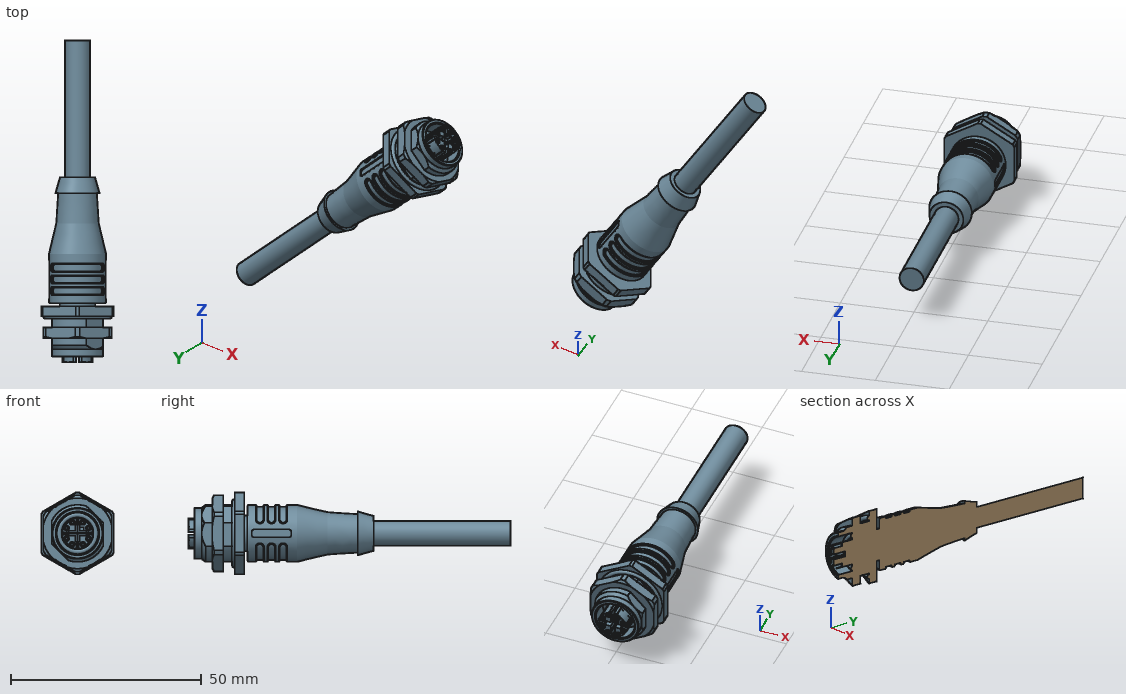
import cadquery as cq
import math


TOTAL_LENGTH = 84.5
CABLE_DIA = 6.6
COLLAR_END_DIA = 9.2
COLLAR_DIA = 11.6
COLLAR_START = 44.4
COLLAR_END = 48.6
SLEEVE_REAR_DIA = 10.2
SLEEVE_FRONT_DIA = 11.2
SLEEVE_START = 36.5
GRIP_DIA = 15.0
GRIP_START = 15.5
GRIP_END = 28.5
GRIP_EDGE_FILLET = 0.4
NECK_DIA = 9.4

GROOVE_WIDTH = 1.75
GROOVE_DEPTH = 0.5
GROOVE_MOUTH_CHAMFER = 0.25
GROOVE_PITCH = 3.05
GROOVE_COUNT = 3
GROOVE_MIDDLE_Y = 21.8
GROOVE_END_Z = 2.8
RECESS_LENGTH = 10.4
RECESS_WIDTH = 2.1
RECESS_DEPTH = 0.4
RECESS_CORNER = 0.7

HEX_SIDES = 6
FLANGE_ACROSS_FLATS = 19.03
FLANGE_CORNER_DIA = 21.5
FLANGE_START = 12.1
FLANGE_END = 14.7
RING_DIA = 18.0
RING_TUBE_DIA = 1.35
NUT_ACROSS_FLATS = 18.0
NUT_CORNER_DIA = 20.1
NUT_START = 6.3
NUT_END = 9.2
NUT_CHAMFER_DIA = 18.5
NUT_CHAMFER_LENGTH = 0.45

THREAD_DIA = 15.0
THREAD_ACROSS_FLATS = 13.4
THREAD_START = 4.5
FRONT_COLLAR_DIA = THREAD_ACROSS_FLATS
FRONT_COLLAR_END = 3.5
RIM_Y = 1.5
RIM_CHAMFER = 0.2
FLAT_ANGLES = (0, 45, 180, 225)

SOCKET_DIA = 10.92
SOCKET_FLOOR = 6.5
SOCKET_CHAMFER = 0.3
SEAL_TUBE_DIA = 1.3
SEAL_DIA = SOCKET_DIA - SEAL_TUBE_DIA
INSERT_DIA = 7.6
SHIELD_END_DIA = 8.0
SHIELD_END_WIDTH = 2.2
CROSS_SLOT_WIDTH = 0.7
CROSS_SLOT_DEPTH = 4.0
CROSS_CORE_WIDTH = 1.3
CROSS_CORE_LENGTH = 4.5
SHIELD_PLATE = 0.25
SHIELD_PLATE_START = 1.6
KEY_NOTCH_SIZE = 1.6
KEY_NOTCH_DEPTH = 1.5
CONTACT_HOLE_DIA = 0.72
CONTACT_RING_DIA = 1.3
CONTACT_RING_DEPTH = 0.15
CONTACT_HOLE_DEPTH = 3.0
CONTACT_NEAR = 1.4
CONTACT_FAR = 2.85


def along_y(profile, start, end):
    """Extrude a profile drawn on the XZ plane from Y = start to Y = end."""
    return profile.extrude(-(end - start)).translate((0, start, 0))


def disc(diameter, start, end):
    return along_y(cq.Workplane("XZ").circle(diameter / 2), start, end)


def bar(width, height, start, end, x=0, z=0):
    return along_y(cq.Workplane("XZ").center(x, z).rect(width, height), start, end)


def turned(radius_y_points):
    """Revolve an outline of (radius, Y) points, closed on the axis, about Y."""
    outline = [(0, radius_y_points[0][1])] + radius_y_points + [(0, radius_y_points[-1][1])]
    return cq.Workplane("XY").polyline(outline).close().revolve(360, (0, 0, 0), (0, 1, 0))


def hexagon(across_flats, start, end):
    """Hexagonal prism with flats facing +X and -X."""
    half_corner_angle = 180 / HEX_SIDES
    corner_dia = across_flats / math.cos(math.radians(half_corner_angle))
    prism = along_y(cq.Workplane("XZ").polygon(HEX_SIDES, corner_dia), start, end)
    return prism.rotate((0, 0, 0), (0, 1, 0), half_corner_angle)


def torus(center_dia, tube_dia, y):
    """Round ring about the Y axis; both sealing rings lie half sunk in the face they rest on."""
    return (
        cq.Workplane("XY")
        .center(center_dia / 2, y)
        .circle(tube_dia / 2)
        .revolve(360, (-center_dia / 2, 0, 0), (-center_dia / 2, 1, 0))
    )


def make_cable_and_grip():
    core = turned([
        (GRIP_DIA / 2, GRIP_START),
        (GRIP_DIA / 2, GRIP_END),
        (SLEEVE_FRONT_DIA / 2, SLEEVE_START),
        (SLEEVE_REAR_DIA / 2, COLLAR_START),
        (COLLAR_DIA / 2, COLLAR_START),
        (COLLAR_END_DIA / 2, COLLAR_END),
        (CABLE_DIA / 2, COLLAR_END),
        (CABLE_DIA / 2, TOTAL_LENGTH),
    ])
    return core.faces("<Y").edges().fillet(GRIP_EDGE_FILLET)


def on_grip_surface(edge):
    """True for an edge whose middle lies on the outer cylinder of the grip, clear of its seam."""
    middle = edge.positionAt(0.5)
    on_cylinder = math.isclose(math.hypot(middle.x, middle.z), GRIP_DIA / 2, abs_tol=GROOVE_DEPTH / 2)
    return on_cylinder and abs(middle.z) > GROOVE_END_Z / 2


def cut_finger_grooves(grip):
    """Circumferential grooves over the top and bottom with rounded ends at the sides."""
    end_radius = GROOVE_WIDTH / 2
    straight_length = GRIP_DIA
    floor_radius = GRIP_DIA / 2 - GROOVE_DEPTH
    for index in range(GROOVE_COUNT):
        y = GROOVE_MIDDLE_Y + (index - (GROOVE_COUNT - 1) / 2) * GROOVE_PITCH
        band = disc(GRIP_DIA + GROOVE_DEPTH, y - end_radius, y + end_radius)
        band = band.cut(disc(2 * floor_radius, y - end_radius, y + end_radius))
        for side in (1, -1):
            slot = (
                cq.Workplane("YZ")
                .center(y, side * (GROOVE_END_Z + straight_length / 2))
                .slot2D(straight_length, GROOVE_WIDTH, 90)
                .extrude(GRIP_DIA, both=True)
            )
            grip = grip.cut(band.intersect(slot))
    grooved_half_length = (GROOVE_COUNT - 1) / 2 * GROOVE_PITCH + GROOVE_WIDTH
    mouth_edges = grip.edges().filter(
        lambda edge: abs(edge.Center().y - GROOVE_MIDDLE_Y) < grooved_half_length and on_grip_surface(edge)
    )
    return mouth_edges.chamfer(GROOVE_MOUTH_CHAMFER)


def cut_side_recesses(grip):
    """Flat-bottomed recesses on the -X and +X sides of the grip."""
    for side in (1, -1):
        recess = (
            cq.Workplane("XY")
            .box(2 * RECESS_DEPTH, RECESS_LENGTH, RECESS_WIDTH)
            .edges("|X")
            .fillet(RECESS_CORNER)
            .translate((side * GRIP_DIA / 2, GROOVE_MIDDLE_Y, 0))
        )
        grip = grip.cut(recess)
    return grip


def make_flange():
    flange = hexagon(FLANGE_ACROSS_FLATS, FLANGE_START, FLANGE_END)
    flange = flange.intersect(disc(FLANGE_CORNER_DIA, FLANGE_START, FLANGE_END))
    return flange.union(torus(RING_DIA - RING_TUBE_DIA, RING_TUBE_DIA, FLANGE_START))


def make_nut():
    envelope = turned([
        (NUT_CHAMFER_DIA / 2, NUT_START),
        (NUT_CORNER_DIA / 2, NUT_START + NUT_CHAMFER_LENGTH),
        (NUT_CORNER_DIA / 2, NUT_END),
    ])
    return hexagon(NUT_ACROSS_FLATS, NUT_START, NUT_END).intersect(envelope)


def make_threaded_body():
    body = turned([
        (FRONT_COLLAR_DIA / 2 - RIM_CHAMFER, RIM_Y),
        (FRONT_COLLAR_DIA / 2, RIM_Y + RIM_CHAMFER),
        (FRONT_COLLAR_DIA / 2, FRONT_COLLAR_END),
        (THREAD_DIA / 2, THREAD_START),
        (THREAD_DIA / 2, FLANGE_START),
    ])
    for angle in FLAT_ANGLES:
        flat = bar(THREAD_DIA, THREAD_DIA, RIM_Y, FLANGE_START, x=(THREAD_ACROSS_FLATS + THREAD_DIA) / 2)
        body = body.cut(flat.rotate((0, 0, 0), (0, 1, 0), -angle))
    socket = turned([
        (SOCKET_DIA / 2 + SOCKET_CHAMFER, RIM_Y),
        (SOCKET_DIA / 2, RIM_Y + SOCKET_CHAMFER),
        (SOCKET_DIA / 2, SOCKET_FLOOR),
    ])
    return body.cut(socket)


def make_insert():
    """Four contact quadrants parted by a cross, with thicker walls where the cross arms end."""
    insert = disc(INSERT_DIA, 0, SOCKET_FLOOR)
    arm_ends = bar(SHIELD_END_WIDTH, SHIELD_END_DIA, 0, SOCKET_FLOOR)
    arm_ends = arm_ends.union(bar(SHIELD_END_DIA, SHIELD_END_WIDTH, 0, SOCKET_FLOOR))
    insert = insert.union(arm_ends.intersect(disc(SHIELD_END_DIA, 0, SOCKET_FLOOR)))

    insert = insert.cut(bar(CROSS_SLOT_WIDTH, SHIELD_END_DIA, 0, CROSS_SLOT_DEPTH))
    insert = insert.cut(bar(SHIELD_END_DIA, CROSS_SLOT_WIDTH, 0, CROSS_SLOT_DEPTH))
    insert = insert.cut(bar(CROSS_CORE_WIDTH, CROSS_CORE_LENGTH, 0, CROSS_SLOT_DEPTH))
    insert = insert.cut(bar(CROSS_CORE_LENGTH, CROSS_CORE_WIDTH, 0, CROSS_SLOT_DEPTH))

    plates = bar(SHIELD_PLATE, INSERT_DIA, SHIELD_PLATE_START, SOCKET_FLOOR)
    plates = plates.union(bar(INSERT_DIA, SHIELD_PLATE, SHIELD_PLATE_START, SOCKET_FLOOR))
    insert = insert.union(plates)

    key_center = KEY_NOTCH_SIZE / 2
    insert = insert.cut(bar(KEY_NOTCH_SIZE, KEY_NOTCH_SIZE, 0, KEY_NOTCH_DEPTH, key_center, key_center))

    contacts = []
    for x_side in (1, -1):
        for z_side in (1, -1):
            contacts.append((x_side * CONTACT_NEAR, z_side * CONTACT_FAR))
            contacts.append((x_side * CONTACT_FAR, z_side * CONTACT_NEAR))
    places = cq.Workplane("XZ").pushPoints(contacts)
    insert = insert.cut(along_y(places.circle(CONTACT_RING_DIA / 2), 0, CONTACT_RING_DEPTH))
    return insert.cut(along_y(places.circle(CONTACT_HOLE_DIA / 2), 0, CONTACT_HOLE_DEPTH))


grip = cut_side_recesses(cut_finger_grooves(make_cable_and_grip()))
neck = disc(NECK_DIA, FLANGE_END, GRIP_START)
result = (
    grip.union(neck)
    .union(make_flange())
    .union(make_threaded_body())
    .union(make_nut())
    .union(torus(SEAL_DIA, SEAL_TUBE_DIA, SOCKET_FLOOR))
    .union(make_insert())
)